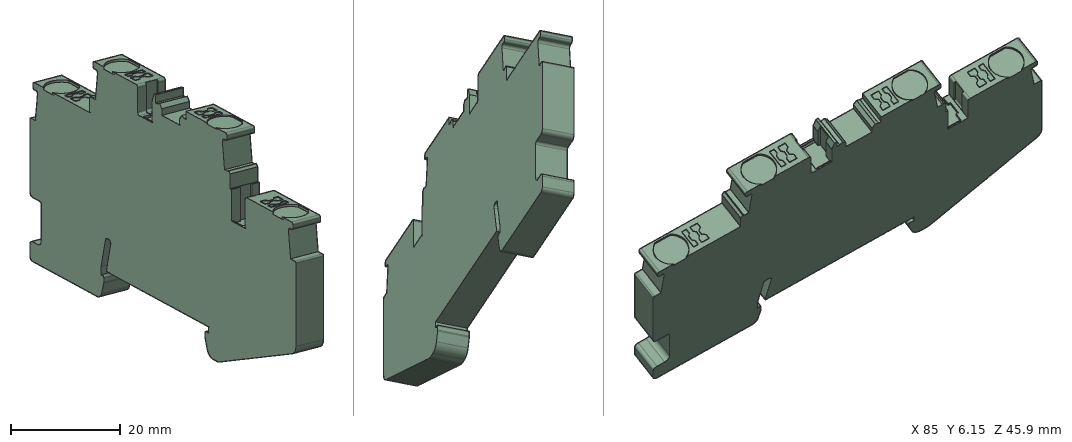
import cadquery as cq
import math

LENGTH = 85.0
WIDTH = 6.15
HEIGHT = 45.9

UPPER_TOP = HEIGHT
LOWER_TOP = 35.4
UPPER_LEFT_LIP = 20.15
LOWER_LEFT_LIP = 0.95
LOWER_RIGHT_LIP = LENGTH - LOWER_LEFT_LIP
UPPER_RIGHT_LIP = 62.95

LIP_HEIGHT = 1.45
LIP_OVERHANG = 1.5
NECK_ROUND = 0.5
NECK_BASE_OFFSET = 0.75
SHOULDER_ROUND = 0.3
SHOULDER_DROP = 7.35
LIP_ROUND = 0.45
UPPER_SHOULDER_REACH = 1.05
SHOULDER_BEAD = 0.25

FOOT_ROUND = 0.8
FOOT_NOTCH_FILLET = 1.1
FOOT_NOTCH_TOP_ROUND = 0.5
TOE_ROUND = 0.6
TOE_BOTTOM_ROUND = 1.5
HOOK_ROUND = 2.0
RAIL_LIP_ROUND = 0.3
SLIT_ROUND = 0.6
CORNER_ROUND = 2.0
RAIL_TOP = 5.9
RAIL_LIP = 4.7
FOOT_NOTCH_DEPTH = 3.6
FOOT_NOTCH_BOTTOM = 3.9
FOOT_NOTCH_TOP = 12.6
FOOT_TOE = 23.6
TOE_FLANK = 1.3
TOE_SLOPE = 1.0
HOOK_FLAT = 3.1
SLIT_LEFT = 22.75
SLIT_RIGHT = 24.5
SLIT_BEND = 6.3
SLIT_TOP = 12.45
SLIT_LEAN = 1.5
RAIL_END = 57.05
HOOK_NOSE = 55.95
HOOK_BOTTOM = 60.2
CORNER_HEIGHT = 10.0

SLOT_1_LEFT = 34.45
SLOT_1_RIGHT = 39.05
SLOT_1_FLOOR = 40.1
SLOT_2_LEFT = 64.45
SLOT_2_RIGHT = 68.8
SLOT_2_FLOOR = 29.2
SLOT_EDGE_ROUND = 0.5
RECESS_DEPTH = 0.5
LEDGE_RECESS_DEPTH = 0.35
LEDGE_FILLET = 0.5
RECESS_START = 1.95
RECESS_END = 4.55
POCKET_DEPTH = 0.5
POCKET_WALL = 0.35
POCKET_SLOPE = 0.3
POCKET_LEDGE = 1.3

SEAT_CENTRE = 45.0
SEAT_FLOOR = 42.55
SEAT_HALF = 2.85
STEP_HALF = 4.85
STEP_LEVEL = 44.35
RIDGE_REACH = 0.7
RIDGE_RISE = 0.3
STEP_FACET_DROP = 0.5
POST_TIP_WIDTH = 0.5
POST_SHOULDER = 44.3

BUTTON_RADIUS = 3.25
BUTTON_Y = 2.95
BUTTON_FLAT_Y = 5.75
BUTTON_DEPTH = 0.45
SHALLOW_BUTTON_DEPTH = 0.25
BUTTON_INSET = 4.9
OPENING_OFFSET = 3.7
OPENING_LENGTH = 3.4
OPENING_WIDTH = 3.9
OPENING_Y = 3.05
OPENING_DEPTH = 0.15
OPENING_NOTCH = 0.65
BRIDGE_OFFSET = 1.4
BRIDGE_WIDTH = 0.8
BRIDGE_BULGE = 1.7


def rounded_outline(corners):
    """Closed XZ outline through (x, z, radius) corners, each rounded with an arc."""
    pieces = []
    count = len(corners)
    for i, (x, z, radius) in enumerate(corners):
        if radius == 0:
            pieces.append([(x, z)])
            continue
        before = corners[i - 1]
        after = corners[(i + 1) % count]
        corner = cq.Vector(x, z)
        to_before = (cq.Vector(before[0], before[1]) - corner).normalized()
        to_after = (cq.Vector(after[0], after[1]) - corner).normalized()
        half_angle = to_before.getAngle(to_after) / 2
        setback = radius / math.tan(half_angle)
        bisector = (to_before + to_after).normalized()
        middle = corner + bisector * (radius / math.sin(half_angle) - radius)
        arc = [corner + to_before * setback, middle, corner + to_after * setback]
        pieces.append([(p.x, p.y) for p in arc])

    outline = cq.Workplane("XZ").moveTo(*pieces[0][-1])
    for piece in pieces[1:] + pieces[:1]:
        outline = outline.lineTo(*piece[0])
        if len(piece) > 1:
            outline = outline.threePointArc(piece[1], piece[2])
    return outline.close()


def head_side(lip, top, inward):
    """Corners of a head's outer side from its shoulder up to its top; inward is +1 or -1 along X."""
    return [
        (lip + inward * NECK_BASE_OFFSET, top - SHOULDER_DROP, 0),
        (lip + inward * LIP_OVERHANG, top - LIP_HEIGHT, NECK_ROUND),
        (lip, top - LIP_HEIGHT, LIP_ROUND),
        (lip, top, LIP_ROUND),
    ]


def upper_shoulder(lip, inward):
    """Corners of the beaded shoulder below an upper head, from its outer wall inward."""
    wall = lip - inward * UPPER_SHOULDER_REACH
    level = UPPER_TOP - SHOULDER_DROP
    return [
        (wall, level - SHOULDER_BEAD, 0),
        (wall + inward * 2 * SHOULDER_BEAD, level + SHOULDER_BEAD, 0),
        (wall + inward * 3 * SHOULDER_BEAD, level, 0),
    ]


def seat_side(side):
    """Corners of one stepped side of the marker seat, from its floor up; side is +1 or -1."""
    wall = SEAT_CENTRE + side * SEAT_HALF
    upper_wall = SEAT_CENTRE + side * STEP_HALF
    return [
        (wall, SEAT_FLOOR, 0),
        (wall, STEP_LEVEL - STEP_FACET_DROP, 0),
        (wall + side * RIDGE_REACH, STEP_LEVEL + RIDGE_RISE, 0),
        (wall + side * 2 * RIDGE_REACH, STEP_LEVEL, 0),
        (upper_wall, STEP_LEVEL, 0),
        (upper_wall, HEIGHT, 0),
    ]


def make_body():
    """Full-width plate with the outline of the housing."""
    shoulder = LOWER_TOP - SHOULDER_DROP
    left_wall = UPPER_LEFT_LIP - UPPER_SHOULDER_REACH
    right_wall = UPPER_RIGHT_LIP + UPPER_SHOULDER_REACH

    left_side = [
        (0, 0, FOOT_ROUND),
        (0, FOOT_NOTCH_BOTTOM, FOOT_ROUND),
        (FOOT_NOTCH_DEPTH, FOOT_NOTCH_BOTTOM, FOOT_NOTCH_FILLET),
        (FOOT_NOTCH_DEPTH, FOOT_NOTCH_TOP, FOOT_NOTCH_TOP_ROUND),
        (0, FOOT_NOTCH_TOP, FOOT_ROUND),
        (0, shoulder, SHOULDER_ROUND),
        *head_side(LOWER_LEFT_LIP, LOWER_TOP, 1),
        (left_wall, LOWER_TOP, 0),
        *upper_shoulder(UPPER_LEFT_LIP, 1),
        *head_side(UPPER_LEFT_LIP, UPPER_TOP, 1),
    ]
    top_side = [
        (SLOT_1_LEFT, HEIGHT, SLOT_EDGE_ROUND),
        (SLOT_1_LEFT, SLOT_1_FLOOR, SLOT_EDGE_ROUND),
        (SLOT_1_RIGHT, SLOT_1_FLOOR, 0),
        (SLOT_1_RIGHT, POST_SHOULDER, 0),
        (SEAT_CENTRE - STEP_HALF - POST_TIP_WIDTH, HEIGHT, 0),
        *reversed(seat_side(-1)),
        *seat_side(1),
    ]
    right_side = [
        *reversed(head_side(UPPER_RIGHT_LIP, UPPER_TOP, -1)),
        *reversed(upper_shoulder(UPPER_RIGHT_LIP, -1)),
        (right_wall, LOWER_TOP, 0),
        (SLOT_2_LEFT, LOWER_TOP, 0),
        (SLOT_2_LEFT, SLOT_2_FLOOR, 0),
        (SLOT_2_RIGHT, SLOT_2_FLOOR, 0),
        (SLOT_2_RIGHT, LOWER_TOP, SLOT_EDGE_ROUND),
        *reversed(head_side(LOWER_RIGHT_LIP, LOWER_TOP, -1)),
        (LENGTH, shoulder, SHOULDER_ROUND),
        (LENGTH, CORNER_HEIGHT, CORNER_ROUND),
    ]
    bottom_side = [
        (HOOK_BOTTOM, 0, HOOK_ROUND),
        (HOOK_BOTTOM - HOOK_FLAT, 0, HOOK_ROUND),
        (HOOK_NOSE, RAIL_LIP - TOE_FLANK, TOE_ROUND),
        (HOOK_NOSE, RAIL_LIP, RAIL_LIP_ROUND),
        (RAIL_END, RAIL_LIP, 0),
        (RAIL_END, RAIL_TOP, 0),
        (SLIT_RIGHT, RAIL_TOP, 0),
        (SLIT_RIGHT, SLIT_BEND, 0),
        (SLIT_RIGHT + SLIT_LEAN, SLIT_TOP, SLIT_ROUND),
        (SLIT_LEFT + SLIT_LEAN, SLIT_TOP, SLIT_ROUND),
        (SLIT_LEFT, SLIT_BEND, 0),
        (SLIT_LEFT, RAIL_LIP, 0),
        (FOOT_TOE, RAIL_LIP, RAIL_LIP_ROUND),
        (FOOT_TOE, RAIL_LIP - TOE_FLANK, TOE_ROUND),
        (FOOT_TOE - TOE_SLOPE, 0, TOE_BOTTOM_ROUND),
    ]
    outline = rounded_outline(left_side + top_side + right_side + bottom_side)
    return outline.extrude(-WIDTH)


def box_between(x_range, y_range, z_range):
    """Box given by its limits along each axis."""
    lows, highs = zip(x_range, y_range, z_range)
    sizes = [high - low for low, high in zip(lows, highs)]
    return cq.Workplane("XY").box(*sizes, centered=False).translate(lows)


def slot_cutter(left, right, floor, wall_top, ledge_side):
    """Wall recesses and stepped floor pocket of a jumper slot; ledge_side is -1 (left) or +1 (right)."""
    middle = (RECESS_START, RECESS_END)
    inside = (POCKET_WALL, WIDTH - POCKET_WALL)
    if ledge_side < 0:
        recess = (left - LEDGE_RECESS_DEPTH, right + RECESS_DEPTH)
        pocket_left, pocket_right = left + POCKET_LEDGE, right
    else:
        recess = (left - RECESS_DEPTH, right + LEDGE_RECESS_DEPTH)
        pocket_left, pocket_right = left, right - POCKET_LEDGE
    ledge_end = "<X" if ledge_side < 0 else ">X"
    walls = box_between(recess, middle, (floor, wall_top))
    walls = walls.edges("|Y and <Z").edges(ledge_end).fillet(LEDGE_FILLET)
    depth = (floor - POCKET_DEPTH, floor)
    pocket = box_between((pocket_left, pocket_right), inside, depth).edges("|X and <Z").chamfer(POCKET_SLOPE)
    wide_range = (pocket_left - RECESS_DEPTH, pocket_right + RECESS_DEPTH)
    wide_pocket = box_between(wide_range, middle, depth)
    return walls.union(pocket).union(wide_pocket)


def button_cutter(x, top, depth):
    """Shallow round button seat, open at the -Y face and flattened near the +Y face."""
    floor = top - depth
    centre = cq.Workplane("XY", origin=(x, BUTTON_Y, floor))
    disc = centre.circle(BUTTON_RADIUS).extrude(depth)
    keep_x = (x - BUTTON_RADIUS, x + BUTTON_RADIUS)
    keep_y = (BUTTON_Y - BUTTON_RADIUS, BUTTON_FLAT_Y)
    keep = box_between(keep_x, keep_y, (floor, top))
    return disc.intersect(keep)


def opening_cutter(x, top, inward):
    """Notched test opening beside a button, crossed by a bridge with a wider middle."""
    half = OPENING_WIDTH / 2
    end = OPENING_LENGTH
    waist = end - OPENING_NOTCH
    outer = [
        (0, -half),
        (end, -half),
        (end, -half / 2),
        (waist, -half / 4),
        (waist, half / 4),
        (end, half / 2),
        (end, half),
        (0, half),
    ]
    thin = BRIDGE_WIDTH / 2
    wide = BRIDGE_BULGE / 2
    right_edge = [
        (thin, -half),
        (thin, -half / 2),
        (wide, -half / 4),
        (wide, half / 4),
        (thin, half / 2),
        (thin, half),
    ]
    left_edge = [(-u, v) for u, v in reversed(right_edge)]
    bridge = [(u + BRIDGE_OFFSET, v) for u, v in right_edge + left_edge]

    start = x + inward * OPENING_OFFSET
    plane = cq.Workplane("XY", origin=(start, OPENING_Y, top - OPENING_DEPTH))
    frame = plane.polyline([(inward * u, v) for u, v in outer]).close().extrude(OPENING_DEPTH)
    island = plane.polyline([(inward * u, v) for u, v in bridge]).close().extrude(OPENING_DEPTH)
    return frame.cut(island)


heads = [
    (LOWER_LEFT_LIP, LOWER_TOP, 1, BUTTON_DEPTH),
    (UPPER_LEFT_LIP, UPPER_TOP, 1, BUTTON_DEPTH),
    (UPPER_RIGHT_LIP, UPPER_TOP, -1, SHALLOW_BUTTON_DEPTH),
    (LOWER_RIGHT_LIP, LOWER_TOP, -1, BUTTON_DEPTH),
]

result = make_body()
result = result.cut(slot_cutter(SLOT_1_LEFT, SLOT_1_RIGHT, SLOT_1_FLOOR, UPPER_TOP, -1))
result = result.cut(slot_cutter(SLOT_2_LEFT, SLOT_2_RIGHT, SLOT_2_FLOOR, LOWER_TOP, 1))
for lip, top, inward, button_depth in heads:
    button_x = lip + inward * BUTTON_INSET
    result = result.cut(button_cutter(button_x, top, button_depth))
    result = result.cut(opening_cutter(button_x, top, inward))